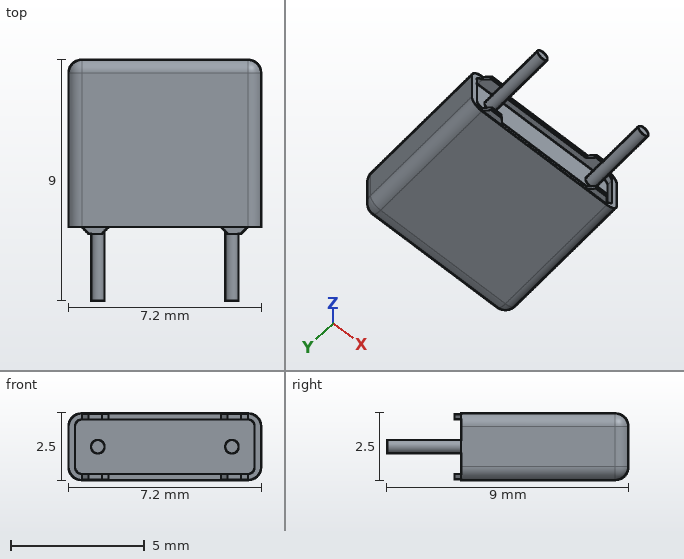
import cadquery as cq

case_width = 7.2
case_height = 2.5
overall_length = 9.0
lead_reach = 2.75
case_length = overall_length - lead_reach
corner_radius = 0.5

side_wall = 0.25
face_wall = 0.23
recess_depth = 0.25
recess_radius = corner_radius - side_wall

foot_base = 1.0
foot_tip = foot_base / 2
foot_length = 0.25
foot_thickness = 0.2
foot_x = case_width / 2 - corner_radius - foot_base / 2
foot_z = case_height / 2 - face_wall + foot_thickness / 2

lead_diameter = 0.5
lead_spacing = 5.0


def make_shell():
    """Block with rounded long edges and closed end, hollowed at the open end."""
    block = cq.Workplane("XY").box(case_width, case_length, case_height)
    block = block.translate((0, case_length / 2, 0))
    rounded = block.edges("|Y").fillet(corner_radius).faces(">Y").edges().fillet(corner_radius)
    recess = (
        cq.Workplane("XY")
        .box(case_width - 2 * side_wall, recess_depth, case_height - 2 * face_wall)
        .edges("|Y")
        .fillet(recess_radius)
        .translate((0, recess_depth / 2, 0))
    )
    return rounded.cut(recess)


def make_foot(x, z):
    """Plate tapering toward -Y, centred on x and z."""
    return (
        cq.Workplane("XY", origin=(x, 0, z))
        .moveTo(-foot_base / 2, 0)
        .lineTo(-foot_tip / 2, -foot_length)
        .lineTo(foot_tip / 2, -foot_length)
        .lineTo(foot_base / 2, 0)
        .close()
        .extrude(foot_thickness / 2, both=True)
    )


def make_case():
    """Shell with a foot near each end of the upper and lower walls."""
    case = make_shell()
    for x in (-foot_x, foot_x):
        for z in (-foot_z, foot_z):
            case = case.union(make_foot(x, z))
    return case


def make_lead(x):
    """Straight wire from the recess floor out through the open end."""
    floor_plane = cq.Workplane("XZ", origin=(x, recess_depth, 0))
    return floor_plane.circle(lead_diameter / 2).extrude(recess_depth + lead_reach)


case = make_case()
leads = [make_lead(x) for x in (-lead_spacing / 2, lead_spacing / 2)]

result = cq.Compound.makeCompound([case.val(), *[lead.val() for lead in leads]])